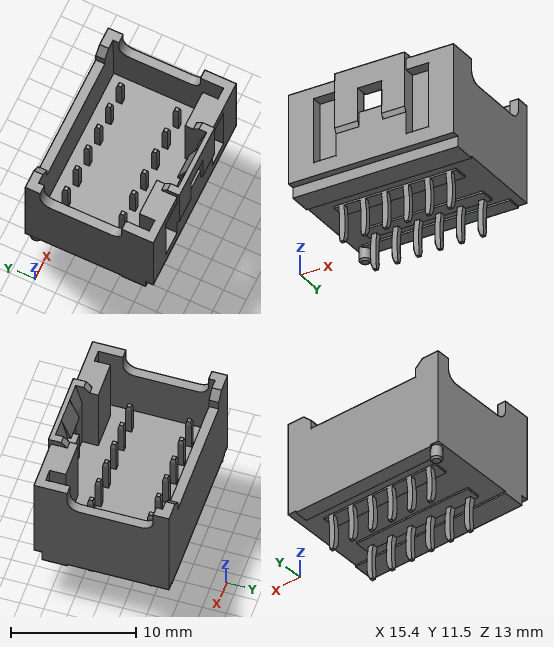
import cadquery as cq


width = 15.4
depth = 11.3
housing_top = 9.22
standoff = 0.17
back_y = 4.85
front_y = back_y - depth
front_step_depth = 0.68
front_step_height = 0.97

side_wall = 0.8
back_wall = 0.8
back_wall_draft = 0.06
front_wall = 0.74
floor_z = 2.77
cavity_half_width = width / 2 - side_wall
key_thickness = 2.1
key_outer_x = 5.87
key_inner_x = 2.63

side_notch_back = 1.32
side_notch_front = 8.52
side_notch_depth = 2.0
side_notch_radius = 1.0
back_notch_half_width = 5.36
back_notch_depth = 1.52
back_notch_chamfer_width = 0.74
back_notch_chamfer_height = 0.7

latch_half_width = 3.26
latch_top = 9.73
latch_bottom = 4.25
latch_protrusion = 0.2
latch_root_depth = 1.59
latch_thickness = 0.4
latch_lower_chamfer = 0.45
latch_rear_chamfer = 0.51
latch_lead_in = 0.52
latch_hook = 0.8
latch_y = front_y - latch_protrusion
latch_inner_y = latch_y + latch_thickness
latch_rear_y = latch_y + latch_root_depth

window_half_width = 1.11
window_top = 7.73
sill_z = 5.57
sill_rear_y = latch_inner_y + latch_hook

pocket_outer_x = 5.36
pocket_bottom = 2.23
pocket_top = 8.18
pocket_depth = 1.02

front_foot_rear_y = back_y - side_notch_front
back_foot_front_y = back_y - side_notch_back
pad_length = 1.39
pad_overhang = 0.7
peg_diameter = 1.0
peg_x = -6.99
peg_inset = 0.68
peg_y = back_y - peg_inset
peg_length = 1.1
peg_chamfer = 0.15

pins_per_row = 6
pin_pitch = 2.0
row_pitch = 5.0
pin_size = 0.5
pin_top = 5.79
pin_tip_size = 0.31
pin_tip_height = 0.4
pin_tail_end = -3.22
tail_bend_start = -0.23
tail_bend_end = -1.05
tail_return_start = -2.33
tail_tip_start = -2.77
tail_offset = 0.14
tail_return = 0.06


def box_between(x0, x1, y0, y1, z0, z1):
    """Block that fills the given X, Y and Z ranges."""
    return cq.Workplane("XY").box(x1 - x0, y1 - y0, z1 - z0, centered=False).translate((x0, y0, z0))


def prism_along_x(points, half_length):
    """Outline of (Y, Z) points, extruded to both sides of X = 0."""
    return cq.Workplane("YZ").polyline(points).close().extrude(half_length, both=True)


def housing_body():
    """Solid outer block with the front latch, before anything is hollowed out."""
    body = box_between(-width / 2, width / 2, front_y, back_y, standoff, housing_top)
    front_foot = box_between(-width / 2, width / 2, front_y, front_foot_rear_y, 0, standoff)
    front_step = box_between(-width / 2, width / 2, front_y, front_y + front_step_depth, 0, front_step_height)
    latch = prism_along_x(
        [
            (latch_y, latch_bottom + latch_lower_chamfer),
            (latch_y, latch_top),
            (latch_rear_y - latch_rear_chamfer, latch_top),
            (latch_rear_y, latch_top - latch_rear_chamfer),
            (latch_rear_y, latch_bottom),
            (front_y, latch_bottom),
        ],
        latch_half_width,
    )
    return body.union(front_foot).cut(front_step).union(latch)


def cavity():
    """Mating space: the main well, the slots beside the keys and the gap behind the latch."""
    key_rear_y = front_y + key_thickness
    well = prism_along_x(
        [
            (key_rear_y, floor_z),
            (back_y - back_wall - back_wall_draft, floor_z),
            (back_y - back_wall, housing_top),
            (back_y - back_wall, latch_top),
            (key_rear_y, latch_top),
        ],
        cavity_half_width,
    )
    latch_gap = prism_along_x(
        [
            (latch_inner_y + latch_lead_in, floor_z),
            (key_rear_y, floor_z),
            (key_rear_y, latch_top),
            (latch_inner_y, latch_top),
            (latch_inner_y + latch_lead_in, window_top),
        ],
        key_inner_x,
    )
    space = well.union(latch_gap)
    slot_y = front_y + front_wall
    for x0, x1 in ((-cavity_half_width, -key_outer_x), (key_outer_x, cavity_half_width)):
        space = space.union(box_between(x0, x1, slot_y, key_rear_y, floor_z, latch_top))
    return space


def side_notch():
    """Round-cornered dip in the rims of both side walls."""
    length = side_notch_front - side_notch_back
    centre_y = back_y - (side_notch_front + side_notch_back) / 2
    bottom = housing_top - side_notch_depth
    dip = (
        cq.Workplane("XY")
        .box(width, length, 2 * side_notch_depth, centered=(True, True, False))
        .edges("|X and <Z")
        .fillet(side_notch_radius)
        .translate((0, centre_y, bottom))
    )
    keep_clear = box_between(
        -cavity_half_width, cavity_half_width, latch_y, back_y, 0, bottom + 2 * side_notch_depth
    )
    return dip.cut(keep_clear)


def back_notch():
    """Dip in the rim of the back wall, with sloping upper corners."""
    outer_x = back_notch_half_width + back_notch_chamfer_width
    slope_z = housing_top - back_notch_chamfer_height
    bottom = housing_top - back_notch_depth
    return (
        cq.Workplane("XZ", origin=(0, back_y, 0))
        .polyline(
            [
                (-back_notch_half_width, bottom),
                (back_notch_half_width, bottom),
                (back_notch_half_width, slope_z),
                (outer_x, housing_top),
                (-outer_x, housing_top),
                (-back_notch_half_width, slope_z),
            ]
        )
        .close()
        .extrude(back_wall + back_wall_draft)
    )


def latch_hook_ramp():
    """Wedge on the inner side of the latch, growing downwards to the top of the window."""
    return prism_along_x(
        [
            (latch_y, window_top),
            (latch_y, latch_top),
            (latch_inner_y, latch_top),
            (latch_inner_y + latch_hook, window_top),
        ],
        window_half_width,
    )


def sill():
    """Rib under the window, as deep as the hook above it."""
    return box_between(-window_half_width, window_half_width, front_y, sill_rear_y, floor_z, sill_z)


def window():
    """Opening through the latch down to the sill, and the gap that splits the latch lip."""
    opening = box_between(-window_half_width, window_half_width, latch_y, sill_rear_y, sill_z, window_top)
    lip_gap = box_between(-window_half_width, window_half_width, latch_y, front_y, latch_bottom, sill_z)
    return opening.union(lip_gap)


def front_pockets():
    """Two blind pockets that free the sides of the latch."""
    right = box_between(
        latch_half_width, pocket_outer_x, front_y, front_y + pocket_depth, pocket_bottom, pocket_top
    )
    return right.union(right.mirror("YZ"))


def feet_and_peg():
    """Rear foot, a pad strip under each pin row, and the locating peg."""
    parts = box_between(-cavity_half_width, cavity_half_width, back_foot_front_y, back_y, 0, standoff)
    pad_half_width = (pins_per_row - 1) * pin_pitch / 2 + pad_overhang
    row_outer_y = (row_pitch + pin_size) / 2
    back_pad = box_between(
        -pad_half_width, pad_half_width, row_outer_y - pad_length, row_outer_y, 0, standoff
    )
    peg = (
        cq.Workplane("XY")
        .circle(peg_diameter / 2)
        .extrude(peg_length + standoff)
        .faces("<Z")
        .chamfer(peg_chamfer)
        .translate((peg_x, peg_y, -peg_length))
    )
    return parts.union(back_pad).union(back_pad.mirror("XZ")).union(peg)


def tapered_tip(base_z, end_z, base_y, end_y):
    """Four-sided tip that narrows from the pin section to its blunt end."""
    return (
        cq.Workplane("XY", origin=(0, base_y, base_z))
        .rect(pin_size, pin_size)
        .workplane(offset=end_z - base_z)
        .center(0, end_y - base_y)
        .rect(pin_tip_size, pin_tip_size)
        .loft(ruled=True)
    )


def back_row_pin():
    """Pin of the back row at X = 0, its tail cranked towards the other row and back out a little."""
    y = row_pitch / 2
    tail_y = y - tail_offset
    tip_y = tail_y + tail_return
    end_y = tip_y + (pin_size - pin_tip_size) / 2
    centreline = [
        (y, pin_top - pin_tip_height),
        (y, tail_bend_start),
        (tail_y, tail_bend_end),
        (tail_y, tail_return_start),
        (tip_y, tail_tip_start),
    ]
    inner_side = [(cy - pin_size / 2, z) for cy, z in centreline]
    outer_side = [(cy + pin_size / 2, z) for cy, z in centreline]
    shank = prism_along_x(inner_side + outer_side[::-1], pin_size / 2)
    top_tip = tapered_tip(pin_top - pin_tip_height, pin_top, y, y)
    tail_tip = tapered_tip(tail_tip_start, pin_tail_end, tip_y, end_y)
    return shank.union(top_tip).union(tail_tip)


result = housing_body().cut(cavity()).cut(side_notch()).cut(back_notch()).cut(front_pockets())
result = result.union(sill()).union(latch_hook_ramp()).cut(window()).union(feet_and_peg())

back_pin = back_row_pin()
for column in range(pins_per_row):
    pin_x = (column - (pins_per_row - 1) / 2) * pin_pitch
    pin = back_pin.translate((pin_x, 0, 0))
    result = result.union(pin).union(pin.mirror("XZ"))